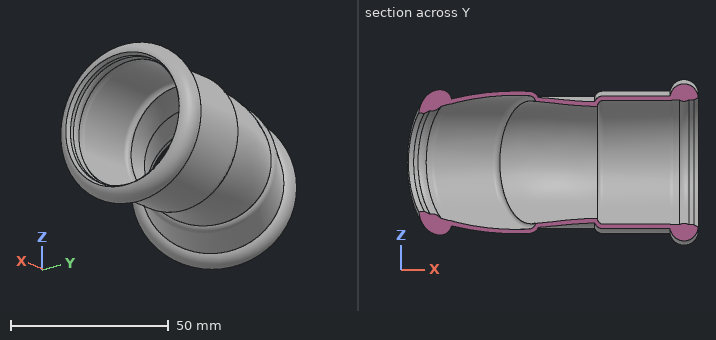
import cadquery as cq
import math


BEND_ANGLE = 30.0
WALL = 1.5
PIPE_RADIUS = 42.0 / 2
PIPE_BORE_RADIUS = PIPE_RADIUS - WALL

MOUTH_DISTANCE = 43.4
SOCKET_LENGTH = 33.0
SOCKET_RADIUS = 45.4 / 2
BORE_RADIUS = 42.4 / 2
OUTER_SHOULDER_RADIUS = 3.0
INNER_SHOULDER_RADIUS = BORE_RADIUS - PIPE_BORE_RADIUS

BEAD_OUTER_RADIUS = 52.7 / 2
BEAD_RADIUS = 4.6
BEAD_CENTER_RADIUS = BEAD_OUTER_RADIUS - BEAD_RADIUS
BEAD_DEPTH = SOCKET_LENGTH - BEAD_RADIUS
MOUTH_RADIUS = 22.1

SEAL_RADIUS = 42.7 / 2
SEAL_FRONT = SOCKET_LENGTH - WALL
SEAL_BACK = 24.9
SEAL_TAPER_LENGTH = 0.9
LIP_HALF_WIDTH = 1.5
LIP_HEIGHT = 0.4


def half_chord(circle_radius, offset):
    """Half the chord of a circle at the given offset from its center."""
    return math.sqrt(circle_radius**2 - offset**2)


def shoulder_middle(end_depth, large_radius, small_radius, arc_radius):
    """Middle point of a shoulder arc that is tangent to its larger cylinder at end_depth."""
    center_radius = large_radius - arc_radius
    sweep = math.acos((small_radius - center_radius) / arc_radius)
    return (
        end_depth - arc_radius * math.sin(sweep / 2),
        center_radius + arc_radius * math.cos(sweep / 2),
    )


SHOULDER_END = half_chord(OUTER_SHOULDER_RADIUS, PIPE_RADIUS - SOCKET_RADIUS + OUTER_SHOULDER_RADIUS)
PIPE_END = SHOULDER_END - INNER_SHOULDER_RADIUS
SHOULDER_DISTANCE = MOUTH_DISTANCE - SOCKET_LENGTH
PIPE_END_DISTANCE = SHOULDER_DISTANCE + PIPE_END
BEND_RADIUS = PIPE_END_DISTANCE / math.tan(math.radians(BEND_ANGLE / 2))


def make_socket():
    """Socket revolved about X, opening towards +X."""
    outer_middle = shoulder_middle(SHOULDER_END, SOCKET_RADIUS, PIPE_RADIUS, OUTER_SHOULDER_RADIUS)
    inner_middle = shoulder_middle(SHOULDER_END, BORE_RADIUS, PIPE_BORE_RADIUS, INNER_SHOULDER_RADIUS)
    middle_of_wall = (PIPE_RADIUS + PIPE_BORE_RADIUS) / 2
    bead_back = BEAD_DEPTH - half_chord(BEAD_RADIUS, SOCKET_RADIUS - BEAD_CENTER_RADIUS)
    bead_front = BEAD_DEPTH + half_chord(BEAD_RADIUS, MOUTH_RADIUS - BEAD_CENTER_RADIUS)
    profile = (
        cq.Workplane("XY")
        .moveTo(0, middle_of_wall)
        .lineTo(0, PIPE_RADIUS)
        .threePointArc(outer_middle, (SHOULDER_END, SOCKET_RADIUS))
        .lineTo(bead_back, SOCKET_RADIUS)
        .threePointArc((BEAD_DEPTH, BEAD_OUTER_RADIUS), (bead_front, MOUTH_RADIUS))
        .lineTo(SEAL_FRONT, SEAL_RADIUS)
        .lineTo(BEAD_DEPTH + LIP_HALF_WIDTH, SEAL_RADIUS)
        .threePointArc(
            (BEAD_DEPTH, SEAL_RADIUS - LIP_HEIGHT),
            (BEAD_DEPTH - LIP_HALF_WIDTH, SEAL_RADIUS),
        )
        .lineTo(SEAL_BACK, SEAL_RADIUS)
        .lineTo(SEAL_BACK - SEAL_TAPER_LENGTH, BORE_RADIUS)
        .lineTo(SHOULDER_END, BORE_RADIUS)
        .threePointArc(inner_middle, (PIPE_END, PIPE_BORE_RADIUS))
        .lineTo(PIPE_END, middle_of_wall)
        .close()
    )
    return profile.revolve(360, (0, 0, 0), (1, 0, 0)).translate((SHOULDER_DISTANCE, 0, 0))


def make_pipe():
    """Curved pipe running from the straight socket towards -X and turning to -Y."""
    return (
        cq.Workplane("YZ", origin=(PIPE_END_DISTANCE, 0, 0))
        .circle(PIPE_RADIUS)
        .circle(PIPE_BORE_RADIUS)
        .revolve(BEND_ANGLE, (-BEND_RADIUS, 0, 0), (-BEND_RADIUS, 1, 0))
    )


straight_socket = make_socket()
angled_socket = straight_socket.mirror("YZ").rotate((0, 0, 0), (0, 0, 1), BEND_ANGLE)

result = make_pipe().union(straight_socket).union(angled_socket)